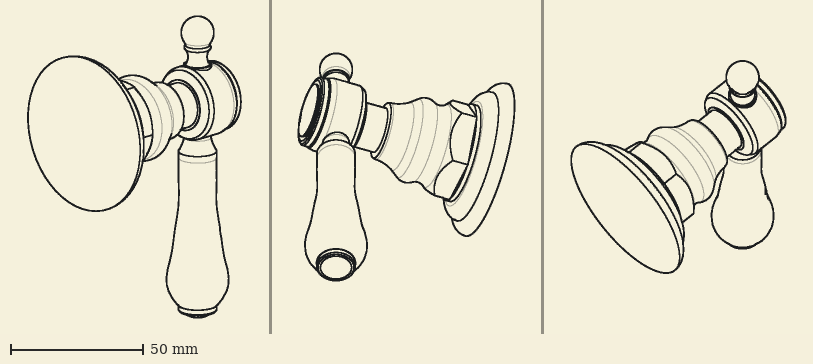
import cadquery as cq
import math


flange_radius = 29.97
flange_round = 4.72
upper_flange_radius = flange_radius - flange_round
spacer_radius = 18.9
spacer_height = 1.8
spacer_bottom = 2 * flange_round

nut_bottom = spacer_bottom + spacer_height
nut_across_flats = 33.5
nut_corner_radius = nut_across_flats / 2 / math.cos(math.pi / 6)
nut_top = 20.5
nut_top_radius = 16.2
nut_chamfer_bottom = nut_top - (nut_corner_radius - nut_top_radius)

bell_waist_y = 23.6
bell_waist_radius = 15.15
bell_bead_start_y = 25.9
bell_bead_start_radius = 15.7
bell_bead_y = 28.9
bell_bead_radius = 16.55
bell_bead_end_y = 31.6
bell_bead_end_radius = 15.4
bell_cone_end_y = 34.5
bell_cone_end_radius = 13.3
bell_flare_y = 38.2
bell_flare_radius = 11.7
bell_rim_y = 42.0
bell_rim_radius = 11.1
bell_top = 42.75
bell_top_radius = 10.85

pin_radius = 5.2
stem_radius = 8.7
stem_bottom = 43.3

hub_bottom = 52.2
hub_bottom_radius = 9.8
hub_lip_y = 52.45
hub_shoulder_y = 53.75
hub_shoulder_radius = 13.3
hub_radius = 14.25
hub_side_start = 55.5
hub_side_end = 66.0
hub_top = 68.3
hub_top_radius = 13.7
hub_groove_radius = 13.0

cap_bottom = 68.7
cap_radius = 13.4
cap_side_end = 70.7
cap_chamfer_top = 71.3
cap_chamfer_radius = 12.9
cap_face_y = 71.65
cap_face_radius = 11.9
button_radius = 10.3
button_edge_y = 72.2
overall_depth = 73.61

lever_y = 60.95
ball_radius = 6.25
ball_top = 33.1
ball_center_z = ball_top - ball_radius
ball_cone_z = 23.25
ball_cone_radius = math.sqrt(ball_radius**2 - (ball_center_z - ball_cone_z) ** 2)
collar_top = 21.8
collar_bottom = 20.4
collar_top_radius = 4.5
collar_radius = 5.1
collar_middle_z = (collar_top + collar_bottom) / 2
neck_top_radius = 4.7
neck_waist_z = 17.3
neck_waist_radius = 3.65
neck_base_radius = 4.6
finial_foot_radius = 5.3
finial_foot_top = 14.3

grip_neck_z = -14.5
grip_neck_radius = 5.1
grip_flare_z = -17.3
grip_flare_radius = 5.9
grip_ferrule_top = -20.0
grip_ferrule_bottom = -22.5
grip_radius = 7.27
grip_swell_start = -41.5
grip_straight_middle = (grip_ferrule_bottom + grip_swell_start) / 2
grip_swell = [(8.55, -50.5), (10.2, -62.0), (11.85, -70.5), (10.95, -75.5)]
grip_swell_end_radius = 7.4
grip_swell_end_direction = (-1, -1)
pommel_top = -80.75
pommel_side_end = -82.6
pommel_chamfer_z = -83.2
pommel_chamfer_radius = 6.8
pommel_dome_radius = 5.9
grip_bottom = -85.65


def dome_middle(edge_radius, edge_level, tip_level):
    """Point halfway along a dome arc that meets its axis squarely at tip_level."""
    height = abs(tip_level - edge_level)
    sphere_radius = (edge_radius**2 + height**2) / (2 * height)
    half_angle = math.asin(edge_radius / sphere_radius) / 2
    drop = sphere_radius * (1 - math.cos(half_angle))
    middle_level = tip_level - math.copysign(drop, tip_level - edge_level)
    return sphere_radius * math.sin(half_angle), middle_level


def spin(profile):
    """Revolve a closed (radius, height) profile about its height axis."""
    return profile.close().revolve(360, (0, 0), (0, 1))


def spindle_profile():
    return cq.Workplane("XY")


def lever_profile():
    return cq.Workplane("XZ", origin=(0, lever_y, 0))


def rounded_disc(radius, bottom):
    """Disc whose far rim is a full-height quarter round."""
    top = bottom + flange_round
    center_radius = radius - flange_round
    reach = flange_round * math.sqrt(0.5)
    return spin(
        spindle_profile()
        .moveTo(0, bottom)
        .lineTo(radius, bottom)
        .threePointArc((center_radius + reach, bottom + reach), (center_radius, top))
        .lineTo(0, top)
    )


def make_flange():
    lower_disc = rounded_disc(flange_radius, 0)
    upper_disc = rounded_disc(upper_flange_radius, flange_round)
    spacer = spin(
        spindle_profile()
        .moveTo(0, spacer_bottom)
        .lineTo(spacer_radius, spacer_bottom)
        .lineTo(spacer_radius, nut_bottom)
        .lineTo(0, nut_bottom)
    )
    return lower_disc.union(upper_disc).union(spacer)


def make_nut():
    hexagon = (
        cq.Workplane("XZ", origin=(0, nut_bottom, 0))
        .polygon(6, 2 * nut_corner_radius)
        .extrude(nut_bottom - nut_top)
    )
    chamfer_envelope = spin(
        spindle_profile()
        .moveTo(0, nut_bottom)
        .lineTo(nut_corner_radius, nut_bottom)
        .lineTo(nut_corner_radius, nut_chamfer_bottom)
        .lineTo(nut_top_radius, nut_top)
        .lineTo(0, nut_top)
    )
    return hexagon.intersect(chamfer_envelope)


def make_bell():
    return spin(
        spindle_profile()
        .moveTo(0, nut_top)
        .lineTo(nut_top_radius, nut_top)
        .threePointArc((bell_waist_radius, bell_waist_y), (bell_bead_start_radius, bell_bead_start_y))
        .threePointArc((bell_bead_radius, bell_bead_y), (bell_bead_end_radius, bell_bead_end_y))
        .lineTo(bell_cone_end_radius, bell_cone_end_y)
        .threePointArc((bell_flare_radius, bell_flare_y), (bell_rim_radius, bell_rim_y))
        .lineTo(bell_top_radius, bell_top)
        .lineTo(0, bell_top)
    )


def make_stem_and_hub():
    button_middle = dome_middle(button_radius, button_edge_y, overall_depth)
    return spin(
        spindle_profile()
        .moveTo(0, bell_top)
        .lineTo(pin_radius, bell_top)
        .lineTo(pin_radius, stem_bottom)
        .lineTo(stem_radius, stem_bottom)
        .lineTo(stem_radius, hub_bottom)
        .lineTo(hub_bottom_radius, hub_bottom)
        .lineTo(hub_bottom_radius, hub_lip_y)
        .lineTo(hub_shoulder_radius, hub_shoulder_y)
        .lineTo(hub_radius, hub_side_start)
        .lineTo(hub_radius, hub_side_end)
        .lineTo(hub_top_radius, hub_top)
        .lineTo(hub_groove_radius, hub_top)
        .lineTo(hub_groove_radius, cap_bottom)
        .lineTo(cap_radius, cap_bottom)
        .lineTo(cap_radius, cap_side_end)
        .lineTo(cap_chamfer_radius, cap_chamfer_top)
        .lineTo(cap_face_radius, cap_face_y)
        .lineTo(button_radius, cap_face_y)
        .lineTo(button_radius, button_edge_y)
        .threePointArc(button_middle, (0, overall_depth))
    )


def make_finial():
    return spin(
        lever_profile()
        .lineTo(finial_foot_radius, 0)
        .lineTo(finial_foot_radius, finial_foot_top)
        .lineTo(neck_base_radius, finial_foot_top)
        .threePointArc((neck_waist_radius, neck_waist_z), (neck_top_radius, collar_bottom))
        .threePointArc((collar_radius, collar_middle_z), (collar_top_radius, collar_top))
        .lineTo(ball_cone_radius, ball_cone_z)
        .threePointArc((ball_radius, ball_center_z), (0, ball_top))
    )


def make_grip():
    pommel_middle = dome_middle(pommel_dome_radius, pommel_chamfer_z, grip_bottom)
    return spin(
        lever_profile()
        .lineTo(grip_neck_radius, 0)
        .lineTo(grip_neck_radius, grip_neck_z)
        .threePointArc((grip_flare_radius, grip_flare_z), (grip_radius, grip_ferrule_top))
        .lineTo(grip_radius, grip_ferrule_bottom)
        .spline(
            [(grip_radius, grip_straight_middle), (grip_radius, grip_swell_start)]
            + grip_swell
            + [(grip_swell_end_radius, pommel_top)],
            tangents=[(0, -1), grip_swell_end_direction],
            includeCurrent=True,
        )
        .lineTo(grip_radius, pommel_top)
        .lineTo(grip_radius, pommel_side_end)
        .lineTo(pommel_chamfer_radius, pommel_chamfer_z)
        .lineTo(pommel_dome_radius, pommel_chamfer_z)
        .threePointArc(pommel_middle, (0, grip_bottom))
    )


result = make_flange()
for piece in (make_nut(), make_bell(), make_stem_and_hub(), make_finial(), make_grip()):
    result = result.union(piece)